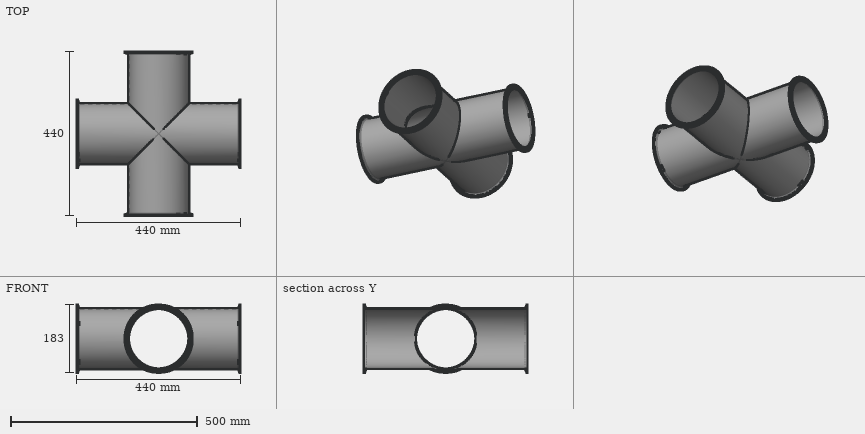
import cadquery as cq

span = 440.0
tube_diameter = 165.0
bore_diameter = 159.5

flange_diameter = 183.0
rim_thickness = 3.5
flange_length = 6.0
root_fillet_radius = 1.8

groove_inner_diameter = 170.0
groove_outer_diameter = 177.8
groove_depth = 1.8
groove_side_run = 1.0

half_span = span / 2
tube_radius = tube_diameter / 2
flange_radius = flange_diameter / 2
groove_inner_radius = groove_inner_diameter / 2
groove_outer_radius = groove_outer_diameter / 2


def flanged_arm():
    """Solid arm along +X from the center of the cross to its grooved flange."""
    flange_root = half_span - flange_length
    groove_floor = half_span - groove_depth
    profile = [
        (0, 0),
        (0, tube_radius),
        (flange_root, tube_radius),
        (half_span - rim_thickness, flange_radius),
        (half_span, flange_radius),
        (half_span, groove_outer_radius),
        (groove_floor, groove_outer_radius - groove_side_run),
        (groove_floor, groove_inner_radius + groove_side_run),
        (half_span, groove_inner_radius),
        (half_span, 0),
    ]
    arm = cq.Workplane("XY").polyline(profile).close().revolve(360, (0, 0, 0), (1, 0, 0))

    reach = root_fillet_radius / 2
    root_edge = cq.selectors.BoxSelector(
        (flange_root - reach, -reach, -reach), (flange_root + reach, reach, reach)
    )
    return arm.edges("%CIRCLE").edges(root_edge).fillet(root_fillet_radius)


def through_bore(plane):
    """Cylinder spanning the whole part along the normal of the given plane."""
    return cq.Workplane(plane).circle(bore_diameter / 2).extrude(half_span, both=True)


run_x = flanged_arm().union(flanged_arm().mirror("YZ"))
run_y = run_x.rotate((0, 0, 0), (0, 0, 1), 90)

result = run_x.union(run_y)
for bore_plane in ("YZ", "XZ"):
    result = result.cut(through_bore(bore_plane))